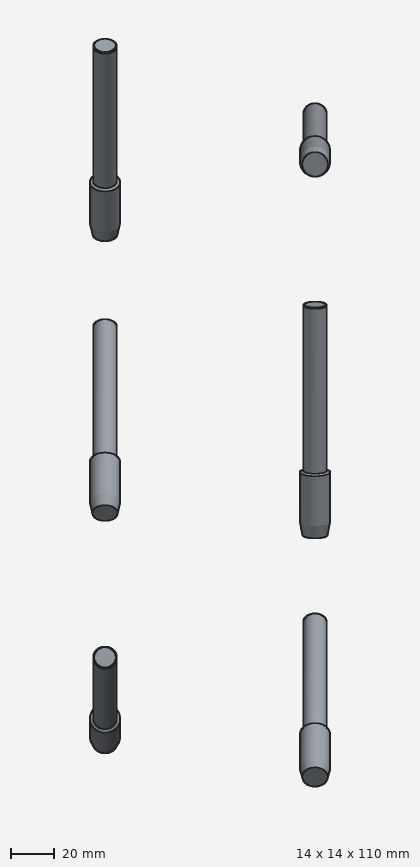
import cadquery as cq

total_length = 110.0
shaft_radius = 5.5
collar_diameter = 14.0
collar_radius = collar_diameter / 2

tip_chamfer_height = 0.5
tip_chamfer_width = 0.5

nose_radius = 5.8
nose_height = 6.3
shoulder_edge_z = 30.0
shoulder_height = 0.8
collar_top_z = shoulder_edge_z + shoulder_height


def make_shaft():
    """Round shaft standing on the collar, with a chamfered upper end."""
    profile = (
        cq.Workplane("XZ")
        .moveTo(0, collar_top_z)
        .lineTo(shaft_radius, collar_top_z)
        .lineTo(shaft_radius, total_length - tip_chamfer_height)
        .lineTo(shaft_radius - tip_chamfer_width, total_length)
        .lineTo(0, total_length)
        .close()
    )
    return profile.revolve(360, (0, 0, 0), (0, 1, 0))


def make_collar():
    """Thick lower body whose shoulder slopes up to meet the shaft."""
    profile = (
        cq.Workplane("XZ")
        .lineTo(nose_radius, 0)
        .lineTo(collar_radius, nose_height)
        .lineTo(collar_radius, shoulder_edge_z)
        .lineTo(shaft_radius, collar_top_z)
        .lineTo(0, collar_top_z)
        .close()
    )
    return profile.revolve(360, (0, 0, 0), (0, 1, 0))


shaft = make_shaft()
collar = make_collar()

result = cq.Compound.makeCompound([shaft.val(), collar.val()])